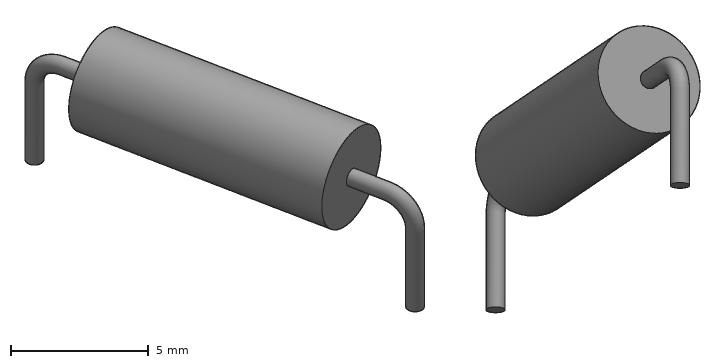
import cadquery as cq

overall_length = 16.94
body_diameter = 4.07
body_length = 10.8
lead_diameter = 0.7
bend_radius = 1.2
overall_height = 6.86

body_end = body_length / 2
leg_x = overall_length / 2 - lead_diameter / 2
bend_start_x = leg_x - bend_radius
tip_z = body_diameter / 2 - overall_height


def make_body():
    """Cylindrical component body lying along X."""
    return cq.Workplane("YZ", origin=(-body_end, 0, 0)).circle(body_diameter / 2).extrude(body_length)


def make_lead(side):
    """Round wire from one end face of the body, bent down 90 degrees; side is -1 or +1 along X."""
    centreline = (
        cq.Workplane("XZ")
        .moveTo(side * body_end, 0)
        .lineTo(side * bend_start_x, 0)
        .tangentArcPoint((side * leg_x, -bend_radius), relative=False)
        .lineTo(side * leg_x, tip_z)
    )
    wire_section = cq.Workplane("YZ", origin=(side * body_end, 0, 0)).circle(lead_diameter / 2)
    return wire_section.sweep(centreline)


body = make_body()
leads = [make_lead(side) for side in (-1, 1)]

result = cq.Compound.makeCompound([body.val(), *[lead.val() for lead in leads]])